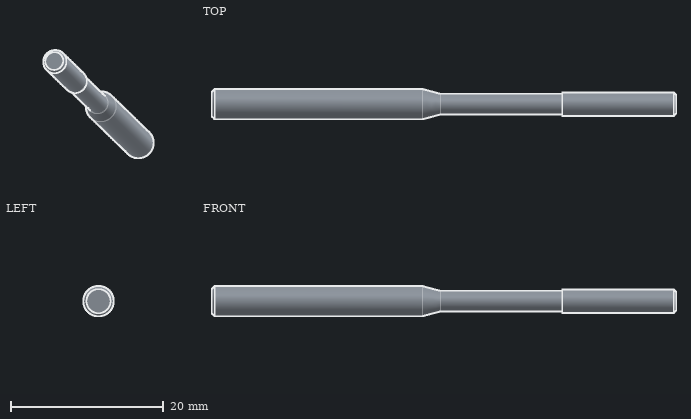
import cadquery as cq

total_length = 61.0
shank_diameter = 4.0
neck_diameter = 2.75
head_diameter = 3.1

shank_end = 27.65
taper_length = 2.4
head_length = 15.0
shank_chamfer = 0.4
head_chamfer = 0.35

neck_start = shank_end + taper_length
head_start = total_length - head_length


def cylinder_along_x(start, end, diameter):
    return cq.Workplane("YZ", origin=(start, 0, 0)).circle(diameter / 2).extrude(end - start)


def make_shank():
    """Chamfered shank tapering down to the neck that carries the head."""
    body = cylinder_along_x(0, shank_end, shank_diameter).faces("<X").chamfer(shank_chamfer)
    taper = (
        cq.Workplane("YZ", origin=(shank_end, 0, 0))
        .circle(shank_diameter / 2)
        .workplane(offset=taper_length)
        .circle(neck_diameter / 2)
        .loft(ruled=True)
    )
    neck = cylinder_along_x(neck_start, head_start, neck_diameter)
    return body.union(taper).union(neck)


def make_cutting_head():
    """Cylindrical head butted against the neck, with a chamfered tip."""
    return cylinder_along_x(head_start, total_length, head_diameter).faces(">X").chamfer(head_chamfer)


shank = make_shank()
cutting_head = make_cutting_head()

result = cq.Compound.makeCompound([shank.val(), cutting_head.val()])